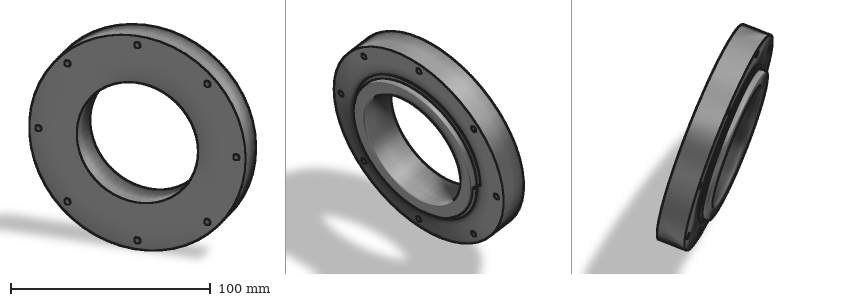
import cadquery as cq

flange_diameter = 116.0
flange_thickness = 15.0
bore_diameter = 65.0

collar_diameter = 80.7
overall_depth = 20.0
collar_height = overall_depth - flange_thickness
rim_fillet = 1.0

thread_pitch = 3.0
thread_start = flange_thickness - 0.1
thread_depth = 1.9
thread_root_width = 2.2
thread_crest_width = 0.3
thread_overlap = 0.2

hole_count = 8
hole_circle_diameter = 106.0
hole_diameter = 3.2


def make_body():
    """Bored flange and collar, built along Z from the front face."""
    flange = cq.Workplane("XY").circle(flange_diameter / 2).extrude(flange_thickness)
    collar = (
        cq.Workplane("XY")
        .workplane(offset=flange_thickness)
        .circle(collar_diameter / 2)
        .extrude(collar_height)
    )
    blank = flange.union(collar)
    bore = cq.Workplane("XY").circle(bore_diameter / 2).extrude(overall_depth)
    return blank.cut(bore).faces(">Z").edges().fillet(rim_fillet)


def make_thread():
    """One turn of a trapezoidal ridge, starting and ending on the -X side."""
    root_radius = collar_diameter / 2 - thread_overlap
    crest_radius = collar_diameter / 2 + thread_depth
    path = cq.Wire.makeHelix(thread_pitch, thread_pitch, root_radius)
    ridge = (
        cq.Workplane("XZ")
        .polyline([
            (root_radius, -thread_root_width / 2),
            (crest_radius, -thread_crest_width / 2),
            (crest_radius, thread_crest_width / 2),
            (root_radius, thread_root_width / 2),
        ])
        .close()
        .sweep(cq.Workplane(obj=path), isFrenet=True)
    )
    return ridge.rotate((0, 0, 0), (0, 0, 1), 180).translate((0, 0, thread_start))


def make_holes():
    """Ring of through holes in the flange."""
    return (
        cq.Workplane("XY")
        .polarArray(hole_circle_diameter / 2, 0, 360, hole_count)
        .circle(hole_diameter / 2)
        .extrude(flange_thickness)
    )


part = make_body().union(make_thread()).cut(make_holes())

result = part.rotate((0, 0, 0), (1, 0, 0), -90)